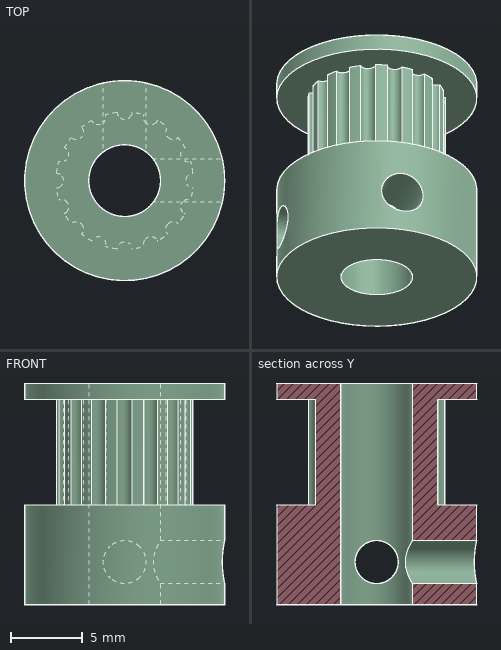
import cadquery as cq
import math

body_diameter = 14.0
bore_diameter = 5.0
total_height = 15.5
hub_height = 7.0
flange_thickness = 1.15

tooth_count = 16
tooth_tip_diameter = 9.6
groove_radius = 0.52

screw_hole_diameter = 3.0
screw_hole_height = 3.0
screw_hole_angles = (0, 90)

tooth_length = total_height - hub_height - flange_thickness
flange_base = total_height - flange_thickness


def disc(diameter, height, base):
    """Solid cylinder on the Z axis, standing on the height `base`."""
    return cq.Workplane("XY").workplane(offset=base).circle(diameter / 2).extrude(height)


def toothed_section():
    """Cylinder with evenly spaced round grooves; the first groove faces +X."""
    grooves = (
        cq.Workplane("XY")
        .workplane(offset=hub_height)
        .polarArray(tooth_tip_diameter / 2, 0, 360, tooth_count)
        .circle(groove_radius)
        .extrude(tooth_length)
    )
    return disc(tooth_tip_diameter, tooth_length, hub_height).cut(grooves)


def screw_hole(angle):
    """Radial cutter from the Z axis outwards through one side of the hub."""
    direction = cq.Vector(math.cos(math.radians(angle)), math.sin(math.radians(angle)), 0)
    start = cq.Vector(0, 0, screw_hole_height)
    return cq.Solid.makeCylinder(screw_hole_diameter / 2, body_diameter, start, direction)


hub = disc(body_diameter, hub_height, 0)
flange = disc(body_diameter, flange_thickness, flange_base)
pulley = hub.union(toothed_section()).union(flange)
pulley = pulley.cut(disc(bore_diameter, total_height, 0))

for hole_angle in screw_hole_angles:
    pulley = pulley.cut(cq.Workplane(obj=screw_hole(hole_angle)))

result = pulley